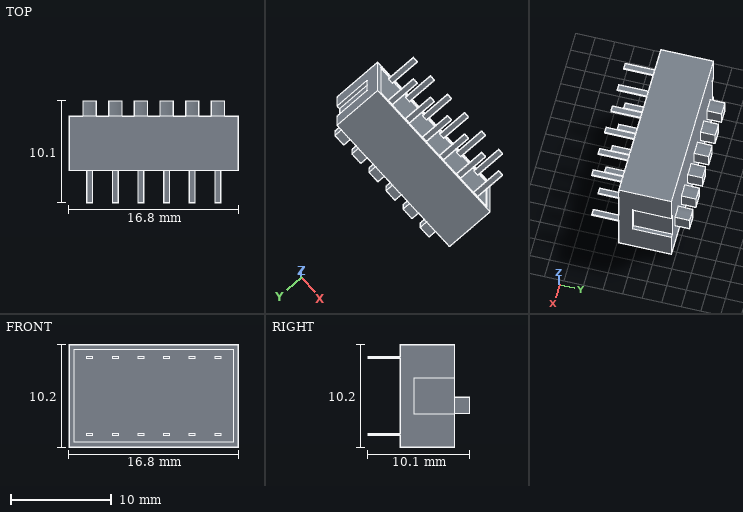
import cadquery as cq

body_width = 16.76
body_depth = 5.4
body_height = 10.16
body_back = body_depth / 2
body_front = -body_depth / 2

rim_width = 0.5
recess_depth = 0.1

notch_height = 3.6
notch_length = 4.0
notch_depth = 0.38

pole_count = 6
pole_pitch = 2.54
pole_positions = [(i - (pole_count - 1) / 2) * pole_pitch for i in range(pole_count)]

row_spacing = 7.62
pin_width = 0.6
pin_thickness = 0.17
pin_length = 3.2

actuator_width = 1.33
actuator_height = 1.62
actuator_length = 1.5
actuator_z = -0.93
hollow_sag = 0.15


def make_block(x_size, y_start, y_end, z_size, x_center=0, z_center=0):
    """Box centred in X and Z that runs from y_start to y_end."""
    center = (x_center, (y_start + y_end) / 2, z_center)
    return cq.Workplane("XY").box(x_size, y_end - y_start, z_size).translate(center)


def make_housing():
    housing = make_block(body_width, body_front, body_back, body_height)
    recess = make_block(
        body_width - 2 * rim_width,
        body_front,
        body_front + recess_depth,
        body_height - 2 * rim_width,
    )
    housing = housing.cut(recess)
    for side in (-1, 1):
        notch = make_block(
            notch_depth,
            body_back - notch_length,
            body_back,
            notch_height,
            x_center=side * (body_width - notch_depth) / 2,
        )
        housing = housing.cut(notch)
    return housing


def make_pin(x, z):
    pin_tip = body_front - pin_length
    pin_root = body_front + recess_depth
    return make_block(pin_width, pin_tip, pin_root, pin_thickness, x, z)


def make_actuator(x):
    half_width = actuator_width / 2
    half_height = actuator_height / 2
    return (
        cq.Workplane("XZ", origin=(x, body_back, actuator_z))
        .moveTo(-half_width, half_height)
        .lineTo(-half_width, -half_height)
        .lineTo(half_width, -half_height)
        .lineTo(half_width, half_height)
        .threePointArc((0, half_height - hollow_sag), (-half_width, half_height))
        .close()
        .extrude(-actuator_length)
    )


result = make_housing()
for pole_x in pole_positions:
    result = result.union(make_actuator(pole_x))
    for row in (-1, 1):
        result = result.union(make_pin(pole_x, row * row_spacing / 2))